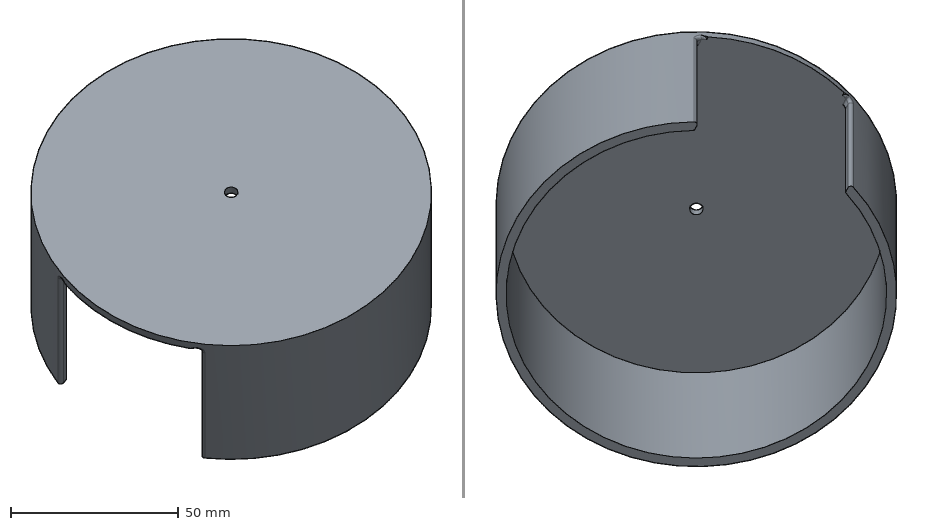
import cadquery as cq

diameter = 119.9
height = 53.0
wall = 3.0
roof = 2.9
hole_diameter = 4.0
opening_width = 50.1
corner_radius = 1.1
edge_radius = 1.0
wall_end_depth = 7.2
sharp_lip_width = 45.1
runout_run_per_rise = 2.0

radius = diameter / 2
roof_underside = height - roof


def make_shell():
    """Round cup, closed at the top and open at the bottom."""
    outside = cq.Workplane("XY").circle(radius).extrude(height)
    inside = cq.Workplane("XY").circle(radius - wall).extrude(roof_underside)
    return outside.cut(inside)


def cut_opening(body):
    """Doorway through the -Y wall, reaching up to the underside of the roof."""
    opening = cq.Workplane("XY").box(
        opening_width, radius, roof_underside, centered=(True, False, False)
    )
    opening = opening.translate((0, -radius, 0))
    opening = opening.edges("|Y and >Z").fillet(corner_radius)
    return body.cut(opening)


def round_opening_rim(body):
    """Round the outer rim of the doorway along both sides and the top."""
    rim_zone = cq.selectors.BoxSelector(
        (-opening_width / 2 - edge_radius, -radius - edge_radius, edge_radius),
        (opening_width / 2 + edge_radius, -radius + wall_end_depth, roof_underside + edge_radius),
    )
    return body.edges(rim_zone).fillet(edge_radius)


def make_sharp_lip():
    """Middle stretch of the roof edge, which keeps its square lower corner."""
    half_bottom = sharp_lip_width / 2
    half_top = half_bottom + roof * runout_run_per_rise
    profile = [
        (-half_bottom, roof_underside),
        (half_bottom, roof_underside),
        (half_top, height),
        (-half_top, height),
    ]
    lip_zone = cq.Workplane("XZ").polyline(profile).close().extrude(radius)
    roof_disc = cq.Workplane("XY", origin=(0, 0, roof_underside)).circle(radius).extrude(roof)
    return roof_disc.intersect(lip_zone)


result = cut_opening(make_shell())
result = round_opening_rim(result).union(make_sharp_lip())
hole = cq.Workplane("XY").circle(hole_diameter / 2).extrude(height)
result = result.cut(hole)